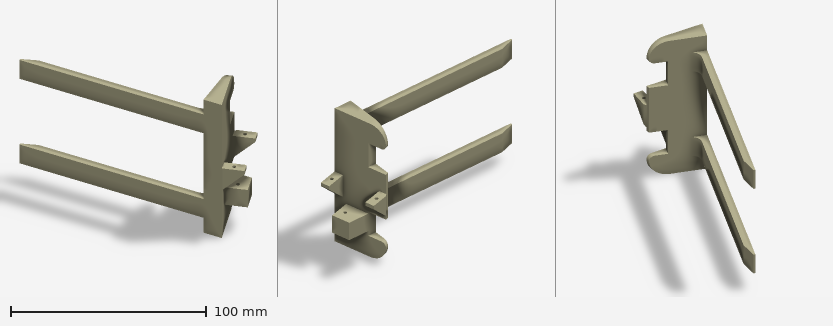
import cadquery as cq
import math

PLATE_HEIGHT = 85.0
PLATE_BASE = 10.42
PLATE_TIP_Y = 30.6
BACK_LEAN = 15.0
TIP_SLOPE = 23.0
HOOK_WIDTH = 13.0
HOOK_OUTER_RADIUS = 10.0
HOOK_INNER_RADIUS = 2.9
NOTCH_FLOOR_Y = 20.6
CENTRE_WIDTH = 28.6

FORK_LENGTH = 105.0
FORK_WIDTH = 12.0
FORK_THICKNESS = 4.0
FORK_SPACING = 54.0
FORK_TIP_LENGTH = 9.0
FORK_TIP_THICKNESS = 1.0
FORK_ROOT_RADIUS = 5.0

LUG_LENGTH = 11.9
LUG_THICKNESS = 5.35
LUG_TOP_Z = 2.1
LUG_END_HEIGHT = 2.2
LOWER_LUG_START = -0.1
UPPER_LUG_START = 28.235
UPPER_LUG_BEVEL_OUT = 1.4
UPPER_LUG_BEVEL_DROP = 0.8
HOLE_DIAMETER = 2.0
LUG_HOLE_OUT = LUG_LENGTH / 2

BLOCK_TOP_Z = -15.4
BLOCK_HEIGHT = 11.1
BLOCK_LENGTH = 12.1
BLOCK_START = 7.3
BLOCK_HOLE_UP = 11.2
BLOCK_HOLE_OUT = 6.2

FORK_EMBED = 1.0

lean = math.radians(BACK_LEAN)


def back_point(out, up):
    """X, Y of a point 'out' from the back face and 'up' along it."""
    x = PLATE_BASE + out * math.cos(lean) - up * math.sin(lean)
    y = out * math.sin(lean) + up * math.cos(lean)
    return x, y


def prism(points, z_bottom, height):
    """Straight prism along Z with an X-Y outline."""
    return cq.Workplane("XY").workplane(offset=z_bottom).polyline(points).close().extrude(height)


def pin_hole(out, up):
    x, y = back_point(out, up)
    return (
        cq.Workplane("XY", origin=(x, y, -PLATE_HEIGHT / 2))
        .circle(HOLE_DIAMETER / 2)
        .extrude(PLATE_HEIGHT)
    )


def make_plate():
    slope = math.tan(math.radians(TIP_SLOPE))
    tip_x = (PLATE_BASE - PLATE_TIP_Y * math.tan(lean)) / (1 + slope * math.tan(lean))
    tip_y = PLATE_TIP_Y + tip_x * slope
    outline = [(0, 0), (PLATE_BASE, 0), (tip_x, tip_y), (0, PLATE_TIP_Y)]
    plate = prism(outline, -PLATE_HEIGHT / 2, PLATE_HEIGHT)

    notch_top = PLATE_HEIGHT / 2 - HOOK_WIDTH
    notch_width = notch_top - CENTRE_WIDTH / 2
    for side in (-1, 1):
        notch_z = side * (notch_top - notch_width / 2)
        notch = cq.Workplane("XY", origin=(0, NOTCH_FLOOR_Y, notch_z)).box(
            PLATE_BASE, tip_y, notch_width, centered=(False, False, True)
        )
        plate = plate.cut(notch)

    for edge_z, radius in ((PLATE_HEIGHT / 2, HOOK_OUTER_RADIUS), (notch_top, HOOK_INNER_RADIUS)):
        for side in (-1, 1):
            edge_point = (tip_x / 2, (PLATE_TIP_Y + tip_y) / 2, side * edge_z)
            plate = plate.edges(cq.NearestToPointSelector(edge_point)).fillet(radius)
    return plate


def make_fork(centre_z):
    root = FORK_ROOT_RADIUS
    arc_offset = root * (1 - math.sqrt(0.5))
    return (
        cq.Workplane("XY", origin=(0, 0, centre_z - FORK_WIDTH / 2))
        .moveTo(-FORK_LENGTH, 0)
        .lineTo(FORK_EMBED, 0)
        .lineTo(FORK_EMBED, FORK_THICKNESS + root)
        .lineTo(0, FORK_THICKNESS + root)
        .threePointArc((-arc_offset, FORK_THICKNESS + arc_offset), (-root, FORK_THICKNESS))
        .lineTo(-FORK_LENGTH + FORK_TIP_LENGTH, FORK_THICKNESS)
        .lineTo(-FORK_LENGTH, FORK_TIP_THICKNESS)
        .close()
        .extrude(FORK_WIDTH)
    )


def make_lug(start, bevel_out=0, bevel_drop=0):
    """Triangular lug with a flat top; its underside falls towards the plate."""
    end = start + LUG_THICKNESS
    outline = [(0, start), (LUG_LENGTH, start), (LUG_LENGTH, end)]
    if bevel_out:
        outline += [(bevel_out, end), (0, end - bevel_drop)]
    else:
        outline += [(0, end)]
    depth = LUG_END_HEIGHT + LUG_LENGTH
    lug = prism([back_point(*p) for p in outline], LUG_TOP_Z - depth, depth)
    side_plane = cq.Plane(
        origin=(*back_point(0, start + LUG_THICKNESS), LUG_TOP_Z),
        xDir=(math.cos(lean), math.sin(lean), 0),
        normal=(math.sin(lean), -math.cos(lean), 0),
    )
    triangle = (
        cq.Workplane(side_plane)
        .polyline([(0, 0), (LUG_LENGTH, 0), (LUG_LENGTH, -LUG_END_HEIGHT), (0, -depth)])
        .close()
        .extrude(LUG_THICKNESS)
    )
    return lug.intersect(triangle).cut(pin_hole(LUG_HOLE_OUT, start + LUG_THICKNESS / 2))


def trim_below_underside(body):
    """Cut away whatever hangs below the plate underside, Y = 0."""
    below = cq.Workplane("XY").box(
        PLATE_BASE + LUG_LENGTH, LUG_THICKNESS, PLATE_HEIGHT, centered=(False, True, True)
    )
    return body.cut(below.translate((0, -LUG_THICKNESS / 2, 0)))


def make_block():
    """Block whose top is level with the notch floors."""
    top_up = (NOTCH_FLOOR_Y - BLOCK_LENGTH * math.sin(lean)) / math.cos(lean)
    inner_up = NOTCH_FLOOR_Y / math.cos(lean)
    outline = [(0, BLOCK_START), (BLOCK_LENGTH, BLOCK_START), (BLOCK_LENGTH, top_up), (0, inner_up)]
    block = prism([back_point(*p) for p in outline], BLOCK_TOP_Z - BLOCK_HEIGHT, BLOCK_HEIGHT)
    return block.cut(pin_hole(BLOCK_HOLE_OUT, BLOCK_HOLE_UP))


result = make_plate()
for fork_side in (-1, 1):
    result = result.union(make_fork(fork_side * FORK_SPACING / 2))
result = result.union(trim_below_underside(make_lug(LOWER_LUG_START)))
result = result.union(make_lug(UPPER_LUG_START, UPPER_LUG_BEVEL_OUT, UPPER_LUG_BEVEL_DROP))
result = result.union(make_block())